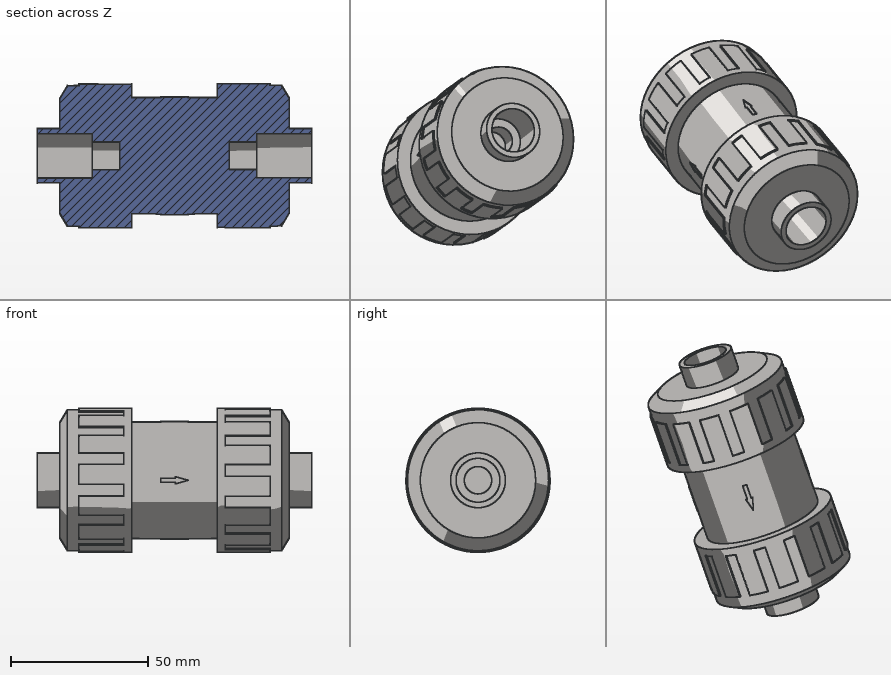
import cadquery as cq
import math

total_length = 100.0
pipe_radius = 10.0
bore_radius = 8.0
bore_depth = 20.0
passage_radius = 5.0
passage_depth = 10.0
body_radius = 21.3

nut_inner_x = 15.5
nut_outer_x = 41.8
nut_radius = 25.7
nut_face_radius = 21.0
chamfer_length = 2.8
grip_diameter = 52.5
grip_radius = grip_diameter / 2
collar_width = 2.9
grip_outer_x = 34.8
ridge_count = 14
ridge_angle = 16.0

arrow_count = 4
arrow_tail_x = -5.0
arrow_neck_x = 0.3
arrow_tip_x = 5.0
arrow_shaft_width = 1.5
arrow_head_width = 2.6
arrow_height = 0.2


def cylinder_x(radius, start_x, length):
    """Solid cylinder on the X axis."""
    return cq.Workplane("YZ", origin=(start_x, 0, 0)).circle(radius).extrude(length)


def grip_recess():
    """Wedge between two ridges, with one edge on the +Z axis and open towards the outer end."""
    gap_angle = math.radians(360 / ridge_count - ridge_angle)
    reach = 2 * grip_radius
    wedge_length = nut_outer_x - nut_inner_x - collar_width
    return (
        cq.Workplane("YZ", origin=(nut_inner_x + collar_width, 0, 0))
        .polyline([(0, 0), (0, reach), (-reach * math.sin(gap_angle), reach * math.cos(gap_angle))])
        .close()
        .extrude(wedge_length)
    )


def union_nut():
    """Nut on the +X side: chamfered base cylinder, inner collar and grip ridges."""
    base = (
        cq.Workplane("XY")
        .polyline([
            (nut_inner_x, 0),
            (nut_inner_x, nut_radius),
            (nut_outer_x - chamfer_length, nut_radius),
            (nut_outer_x, nut_face_radius),
            (nut_outer_x, 0),
        ])
        .close()
        .revolve(360, (0, 0, 0), (1, 0, 0))
    )
    grip = cylinder_x(grip_radius, nut_inner_x, grip_outer_x - nut_inner_x)
    recess = grip_recess()
    for i in range(ridge_count):
        grip = grip.cut(recess.rotate((0, 0, 0), (1, 0, 0), i * 360 / ridge_count))
    return base.union(grip)


def flow_arrow():
    """Arrow on the +Z side of the body, with a top concentric with the body."""
    half_shaft = arrow_shaft_width / 2
    half_head = arrow_head_width / 2
    prism = (
        cq.Workplane("XY")
        .polyline([
            (arrow_tail_x, -half_shaft),
            (arrow_neck_x, -half_shaft),
            (arrow_neck_x, -half_head),
            (arrow_tip_x, 0),
            (arrow_neck_x, half_head),
            (arrow_neck_x, half_shaft),
            (arrow_tail_x, half_shaft),
        ])
        .close()
        .extrude(2 * body_radius)
    )
    root = cylinder_x(body_radius / 2, -nut_inner_x, 2 * nut_inner_x)
    envelope = cylinder_x(body_radius + arrow_height, -nut_inner_x, 2 * nut_inner_x)
    return prism.intersect(envelope.cut(root))


def stepped_bore():
    """Blind bore from the +X end: wide pipe bore followed by a narrower passage."""
    bore_floor_x = total_length / 2 - bore_depth
    wide = cylinder_x(bore_radius, bore_floor_x, bore_depth)
    narrow = cylinder_x(passage_radius, bore_floor_x - passage_depth, passage_depth)
    return wide.union(narrow)


def opposite_end(shape):
    """The same shape turned half a turn about Z, for the -X end."""
    return shape.rotate((0, 0, 0), (0, 0, 1), 180)


body = cylinder_x(body_radius, -nut_inner_x, 2 * nut_inner_x)
pipe = cylinder_x(pipe_radius, -total_length / 2, total_length)
result = body.union(pipe)

nut = union_nut()
bore = stepped_bore()
result = result.union(nut).union(opposite_end(nut))
result = result.cut(bore).cut(opposite_end(bore))

arrow = flow_arrow()
for i in range(arrow_count):
    result = result.union(arrow.rotate((0, 0, 0), (1, 0, 0), i * 360 / arrow_count))